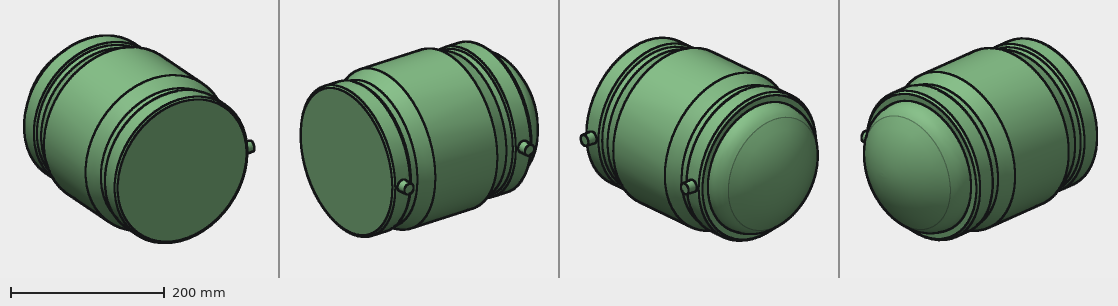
import cadquery as cq
import math

LENGTH = 282.5
BODY_RADIUS = 218.0 / 2
COLLAR_RADIUS = 205.0 / 2
NECK_RADIUS = 198.8 / 2

HEAD_RADIUS = 180.0 / 2
CROWN_RADIUS = 119.7
KNUCKLE_RADIUS = 34.5

COLLAR_WIDTH = 30.5
FRONT_BEVEL = 4.0
REAR_BEVEL = 2.5
FRONT_COLLAR_START = 55.3
REAR_COLLAR_START = LENGTH - COLLAR_WIDTH

NECK_LENGTH = 10.5
FLARE_LENGTH = 22.0

NOZZLE_TIP_Y = 225.0 - BODY_RADIUS
NOZZLE_TIP_RADIUS = 7.5
NOZZLE_BASE_RADIUS = 8.5
NOZZLE_SINK = 2.8


def collar_outline(start):
    """Points (X, radius) along one collar, from its -X edge to its +X edge."""
    end = start + COLLAR_WIDTH
    return [
        (start, NECK_RADIUS),
        (start + FRONT_BEVEL, COLLAR_RADIUS),
        (end - REAR_BEVEL, COLLAR_RADIUS),
        (end, NECK_RADIUS),
    ]


def body_outline():
    """Points (X, radius) along the flared body between the collars."""
    start = FRONT_COLLAR_START + COLLAR_WIDTH + NECK_LENGTH
    end = REAR_COLLAR_START - NECK_LENGTH
    return [
        (start, NECK_RADIUS),
        (start + FLARE_LENGTH, BODY_RADIUS),
        (end - FLARE_LENGTH, BODY_RADIUS),
        (end, NECK_RADIUS),
    ]


def make_vessel():
    knuckle_y = HEAD_RADIUS - KNUCKLE_RADIUS
    centre_gap = CROWN_RADIUS - KNUCKLE_RADIUS
    crown_angle = math.asin(knuckle_y / centre_gap)
    knuckle_x = CROWN_RADIUS - centre_gap * math.cos(crown_angle)

    def crown_point(angle):
        return (
            CROWN_RADIUS * (1 - math.cos(angle)),
            CROWN_RADIUS * math.sin(angle),
        )

    knuckle_mid_angle = (crown_angle + math.pi / 2) / 2
    knuckle_mid = (
        knuckle_x - KNUCKLE_RADIUS * math.cos(knuckle_mid_angle),
        knuckle_y + KNUCKLE_RADIUS * math.sin(knuckle_mid_angle),
    )

    profile = (
        cq.Workplane("XY")
        .moveTo(0, 0)
        .threePointArc(crown_point(crown_angle / 2), crown_point(crown_angle))
        .threePointArc(knuckle_mid, (knuckle_x, HEAD_RADIUS))
        .lineTo(FRONT_COLLAR_START, HEAD_RADIUS)
    )
    shell_points = (
        collar_outline(FRONT_COLLAR_START)
        + body_outline()
        + collar_outline(REAR_COLLAR_START)
    )
    for x, radius in shell_points:
        profile = profile.lineTo(x, radius)
    return profile.lineTo(LENGTH, 0).close().revolve(360, (0, 0, 0), (1, 0, 0))


def make_nozzle(collar_start):
    """Tapered nozzle centred on the flat band of a collar, sunk slightly into it."""
    x = collar_start + (FRONT_BEVEL + COLLAR_WIDTH - REAR_BEVEL) / 2
    base_y = COLLAR_RADIUS - NOZZLE_SINK
    cone = cq.Solid.makeCone(
        NOZZLE_BASE_RADIUS,
        NOZZLE_TIP_RADIUS,
        NOZZLE_TIP_Y - base_y,
        cq.Vector(x, base_y, 0),
        cq.Vector(0, 1, 0),
    )
    return cq.Workplane(obj=cone)


result = make_vessel()
for start in (FRONT_COLLAR_START, REAR_COLLAR_START):
    result = result.union(make_nozzle(start))